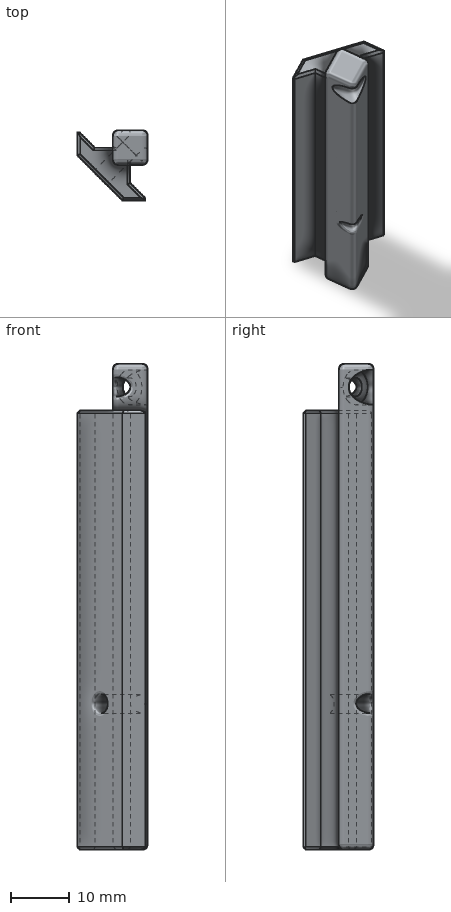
import cadquery as cq
import math

width = 12.0
height = 83.0
bar_side = 6.0
bar_round = 1.0

plate_height = 75.0
face_leg = 7.7
tip = 11.6
notch = 9.05
plate_chamfer = 0.5

hole_diameter = 3.2
rim_radius = 0.5
selection_margin = 0.01
recess_diameter = 6.0
shoulder_offset = 2.8
eyelet_z = 79.0
plate_hole_z = 25.0


def make_bar():
    """Square bar with every edge rounded."""
    bar = cq.Workplane("XY").box(bar_side, bar_side, height, centered=False)
    bar = bar.translate((width - bar_side, width - bar_side, 0))
    return bar.edges().fillet(bar_round)


def make_plate():
    """Winged plate, symmetric about the X = Y plane, bevelled at both ends and trimmed at the wing tips."""
    half = [(0, face_leg), (0, width), (width - notch, notch), (notch, notch)]
    mirrored = [(y, x) for x, y in reversed(half[:-1])]
    outline = cq.Workplane("XY").polyline(half + mirrored).close()
    plate = outline.extrude(plate_height)
    plate = plate.faces("<Z or >Z").chamfer(plate_chamfer)
    blunt = cq.Workplane("XY").box(tip, tip, plate_height, centered=False)
    return plate.intersect(blunt)


def diagonal_cutter(diameter, z, start, length):
    """Cylinder along the X = Y diagonal, starting at X = Y = start."""
    origin = cq.Vector(start, start, z)
    return cq.Workplane(cq.Solid.makeCylinder(diameter / 2, length, origin, cq.Vector(1, 1, 0)))


def drill(body, z):
    """Cut a diagonal hole right through and round its rims."""
    overrun = width / 2
    length = (width + 2 * overrun) * math.sqrt(2)
    drilled = body.cut(diagonal_cutter(hole_diameter, z, -overrun, length))
    reach = hole_diameter / 2 + selection_margin
    window = cq.selectors.BoxSelector(
        (-width, -width, z - reach), (2 * width, 2 * width, z + reach), boundingbox=True
    )
    return drilled.edges(window).fillet(rim_radius)


def recess_eyelet(body):
    """Widen the back half of the eyelet, from inside the bar to its far corner."""
    shoulder = width - bar_side + shoulder_offset
    return body.cut(diagonal_cutter(recess_diameter, eyelet_z, shoulder, width))


result = make_bar().union(make_plate())
result = drill(result, eyelet_z)
result = drill(result, plate_hole_z)
result = recess_eyelet(result)